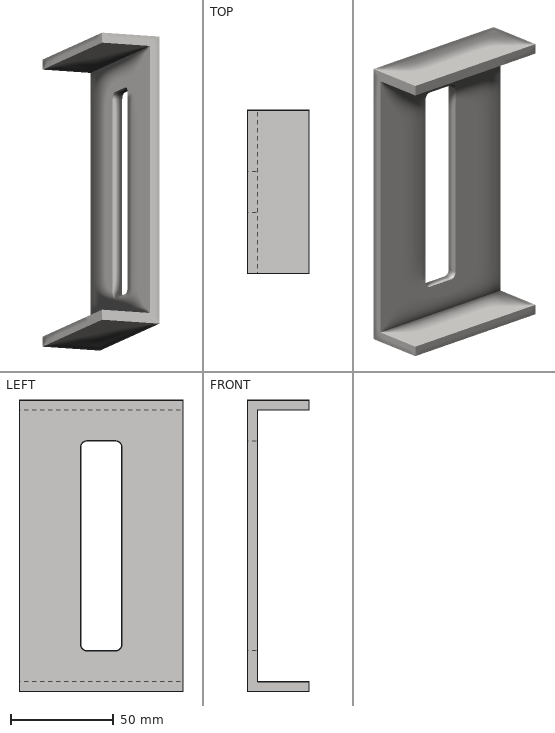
import cadquery as cq

flange_length = 30.0
channel_width = 80.0
channel_height = 142.5
wall = 5.0

window_width = 20.0
window_height = 102.5
window_corner_radius = 3.0


def make_channel():
    """C-shaped channel, web on the -X side, flanges pointing to +X."""
    block = cq.Workplane("XY").box(flange_length, channel_width, channel_height)
    hollow = cq.Workplane("XY").box(flange_length, channel_width, channel_height - 2 * wall)
    return block.cut(hollow.translate((wall, 0, 0)))


def make_window():
    """Cutter for the window, centred on the web."""
    web_center_x = (wall - flange_length) / 2
    cutter = cq.Workplane("XY").box(wall, window_width, window_height)
    return cutter.edges("|X").fillet(window_corner_radius).translate((web_center_x, 0, 0))


result = make_channel().cut(make_window())